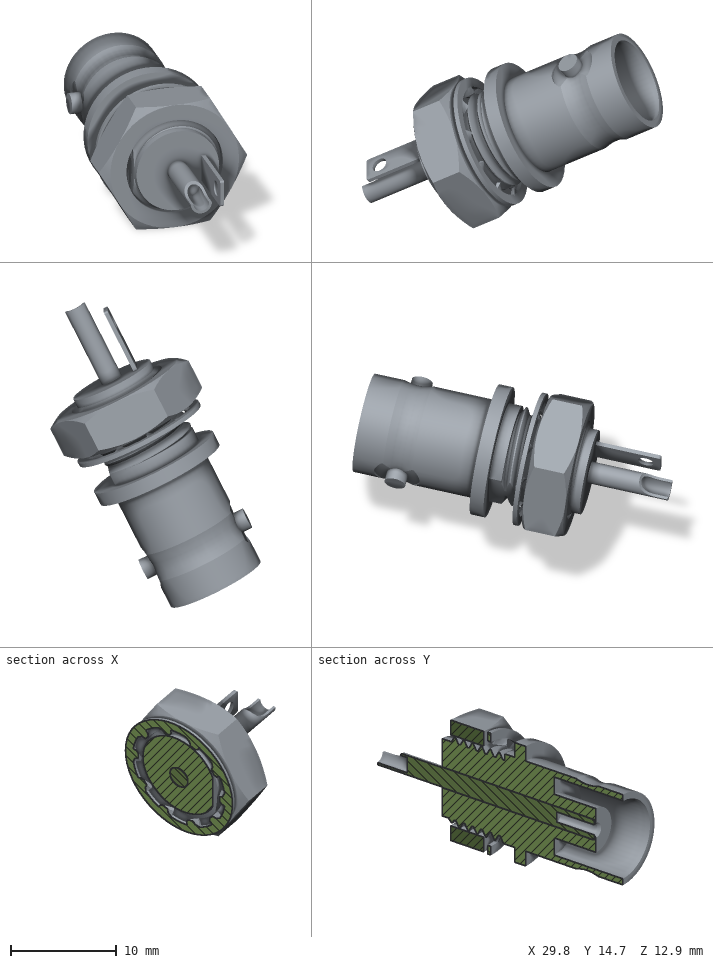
import cadquery as cq
import math

boss_front = 3.28
bore_floor = 8.35
flange_front = 11.8
flange_back = 13.15
neck_back = 14.35
thread_back = 21.18
collar_back = 21.99
overall_length = 29.8

shell_radius = 4.77
bore_radius = 4.08
boss_radius = 2.32
flange_radius = 6.32
root_radius = 4.08

stud_x = 4.32
groove_half_width = 1.4
groove_floor_radius = 4.53

stud_radius = 1.0
stud_reach = 5.5
seat_radius = 2.23
seat_height = 4.5

thread_pitch = 1.07
thread_crest_x = 15.0
crest_radius = 4.75
crest_width = 0.12
thread_base_width = 0.98
thread_overlap = 0.1
neck_overlap = 0.15
flat_distance = 4.05

tab_end = 28.3
tab_y = 2.5
tab_thickness = 0.4
tab_width = 2.62
tab_corner_radius = 0.2
tab_embed = 0.3
tab_hole_x = 26.87
tab_hole_radius = 0.75

contact_radius = 1.05
entry_radius = 0.77
socket_radius = 0.5
entry_depth = 0.27
socket_depth = 4.47
cup_radius = 0.77
cup_depth = 3.57
cutaway_length = 1.15
cutaway_arc_run = 1.8

nut_sides = 6
nut_front = 16.9
nut_thickness = 4.02
nut_corner_diameter = 14.65
nut_chamfer_angle = 30.0

washer_front = 16.0
washer_thickness = 0.42
washer_diameter = 12.85
washer_inner_radius = 5.48
tooth_count = 10
tooth_thickness = 0.35
tooth_root_radius = 5.6
tooth_tip_radius = 4.83
tooth_root_width = 1.67
tooth_tip_width = 1.37
tooth_twist = 30.0

cutter_margin = 0.3


def rod(radius, start, end):
    """Cylinder on the X axis between two X positions."""
    return cq.Workplane("YZ").workplane(offset=start).circle(radius).extrude(end - start)


def spun(points):
    """Solid of revolution about X from (x, radius) points."""
    return cq.Workplane("XY").polyline(points).close().revolve(360, (0, 0, 0), (1, 0, 0))


def groove_cutter():
    start = stud_x - groove_half_width
    end = stud_x + groove_half_width
    outside = shell_radius + cutter_margin
    return (
        cq.Workplane("XY")
        .moveTo(start, shell_radius)
        .threePointArc((stud_x, groove_floor_radius), (end, shell_radius))
        .lineTo(end, outside)
        .lineTo(start, outside)
        .close()
        .revolve(360, (0, 0, 0), (1, 0, 0))
    )


def thread_ridge():
    """One helical ridge, built over-long and trimmed to the threaded length."""
    lead_in = 2 * thread_pitch
    helix_start = thread_crest_x - lead_in
    helix_length = lead_in + thread_back - thread_crest_x + thread_pitch
    base_radius = root_radius - thread_overlap
    profile = [
        (base_radius, -thread_base_width / 2),
        (crest_radius, -crest_width / 2),
        (crest_radius, crest_width / 2),
        (base_radius, thread_base_width / 2),
    ]

    helices = [
        cq.Wire.makeHelix(thread_pitch, helix_length, radius, center=cq.Vector(0, 0, offset))
        for radius, offset in profile
    ]
    faces = [
        cq.Face.makeRuledSurface(helices[index - 1], helices[index])
        for index in range(len(helices))
    ]
    end_angle = 2 * math.pi * helix_length / thread_pitch
    for angle, height in ((0, 0), (end_angle, helix_length)):
        corners = [
            cq.Vector(radius * math.cos(angle), radius * math.sin(angle), offset + height)
            for radius, offset in profile
        ]
        faces.append(cq.Face.makeFromWires(cq.Wire.makePolygon(corners, close=True)))
    ridge = cq.Workplane(obj=cq.Solid.makeSolid(cq.Shell.makeShell(faces)))

    ridge = ridge.rotate((0, 0, 0), (0, 1, 0), 90)
    ridge = ridge.rotate((0, 0, 0), (1, 0, 0), 180)
    ridge = ridge.translate((helix_start, 0, 0))
    ridge_front = neck_back - neck_overlap
    trim_radius = crest_radius + cutter_margin
    threaded_length = spun([
        (ridge_front, 0),
        (ridge_front, trim_radius),
        (thread_back - (trim_radius - root_radius), trim_radius),
        (thread_back + thread_overlap, root_radius - thread_overlap),
        (thread_back + thread_overlap, 0),
    ])
    return ridge.intersect(threaded_length)


def flat_cutter():
    """Block that flattens the -Y side from the flange to the end of the thread."""
    depth = shell_radius - flat_distance + cutter_margin
    length = thread_back - flange_back
    return (
        cq.Workplane("XY")
        .box(length, depth, 2 * shell_radius)
        .translate((flange_back + length / 2, -flat_distance - depth / 2, 0))
    )


def ground_tab():
    length = tab_end - collar_back + tab_embed
    tab = (
        cq.Workplane("XY")
        .box(length, tab_thickness, tab_width)
        .translate((tab_end - length / 2, tab_y, 0))
        .edges(">X and |Y")
        .fillet(tab_corner_radius)
    )
    hole = (
        cq.Workplane("XZ", origin=(tab_hole_x, tab_y + tab_thickness, 0))
        .circle(tab_hole_radius)
        .extrude(2 * tab_thickness)
    )
    return tab.cut(hole)


def make_housing():
    body = rod(shell_radius, 0, neck_back)
    body = body.union(rod(root_radius, flange_front, collar_back))
    body = body.union(thread_ridge()).cut(flat_cutter())
    body = body.union(rod(flange_radius, flange_front, flange_back))
    body = body.cut(groove_cutter())

    for side in (-1, 1):
        seat = (
            cq.Workplane("XZ", origin=(stud_x, side * seat_height, 0))
            .circle(seat_radius)
            .extrude(-side * (shell_radius - seat_height + cutter_margin))
        )
        stud = (
            cq.Workplane("XZ", origin=(stud_x, side * bore_radius, 0))
            .circle(stud_radius)
            .extrude(-side * (stud_reach - bore_radius))
        )
        body = body.cut(seat).union(stud)

    body = body.cut(rod(bore_radius, 0, bore_floor))
    body = body.union(rod(boss_radius, boss_front, bore_floor))

    contact_front = boss_front + entry_depth
    entry = spun([
        (boss_front, 0),
        (boss_front, entry_radius),
        (contact_front, socket_radius),
        (contact_front, 0),
    ])
    contact_hole = rod(contact_radius, contact_front, collar_back)
    return body.union(ground_tab()).cut(entry).cut(contact_hole)


def make_contact():
    contact_front = boss_front + entry_depth
    pin = rod(contact_radius, contact_front, overall_length)
    socket = rod(socket_radius, contact_front, contact_front + socket_depth)
    cup = rod(cup_radius, overall_length - cup_depth, overall_length)

    tangent_x = overall_length - cutaway_length
    arc_radius = (cutaway_arc_run**2 + contact_radius**2) / (2 * contact_radius)
    mid_angle = math.asin(cutaway_arc_run / arc_radius) / 2
    arc_middle = (
        tangent_x - arc_radius * math.sin(mid_angle),
        arc_radius * (1 - math.cos(mid_angle)),
    )
    cutaway = (
        cq.Workplane("XZ")
        .moveTo(overall_length, 0)
        .lineTo(tangent_x, 0)
        .threePointArc(arc_middle, (tangent_x - cutaway_arc_run, contact_radius))
        .lineTo(overall_length, contact_radius)
        .close()
        .extrude(contact_radius + cutter_margin, both=True)
    )
    return pin.cut(socket).cut(cup).cut(cutaway)


def make_nut():
    nut_back = nut_front + nut_thickness
    corner_radius = nut_corner_diameter / 2
    face_radius = corner_radius * math.cos(math.pi / nut_sides)
    chamfer_length = (corner_radius - face_radius) * math.tan(math.radians(nut_chamfer_angle))
    hexagon = (
        cq.Workplane("YZ")
        .workplane(offset=nut_front)
        .polygon(nut_sides, nut_corner_diameter)
        .extrude(nut_thickness)
    )
    chamfered_blank = spun([
        (nut_front, 0),
        (nut_front, face_radius),
        (nut_front + chamfer_length, corner_radius),
        (nut_back - chamfer_length, corner_radius),
        (nut_back, face_radius),
        (nut_back, 0),
    ])
    return hexagon.intersect(chamfered_blank).cut(rod(shell_radius, nut_front, nut_back))


def washer_tooth():
    """Tooth reaching inward from the ring, twisted about its own radial line."""
    return (
        cq.Workplane("XZ", origin=(washer_front + washer_thickness / 2, tooth_root_radius, 0))
        .rect(tooth_thickness, tooth_root_width)
        .workplane(offset=tooth_root_radius - tooth_tip_radius)
        .transformed(rotate=(0, 0, tooth_twist))
        .rect(tooth_thickness, tooth_tip_width)
        .loft(ruled=True)
    )


def make_washer():
    washer_back = washer_front + washer_thickness
    washer = rod(washer_diameter / 2, washer_front, washer_back)
    washer = washer.cut(rod(washer_inner_radius, washer_front, washer_back))
    for index in range(tooth_count):
        angle = index * 360 / tooth_count
        washer = washer.union(washer_tooth().rotate((0, 0, 0), (1, 0, 0), angle))
    return washer


housing = make_housing()
contact = make_contact()
nut = make_nut()
washer = make_washer()

result = cq.Compound.makeCompound([
    housing.solids().val(),
    contact.solids().val(),
    nut.solids().val(),
    washer.solids().val(),
])